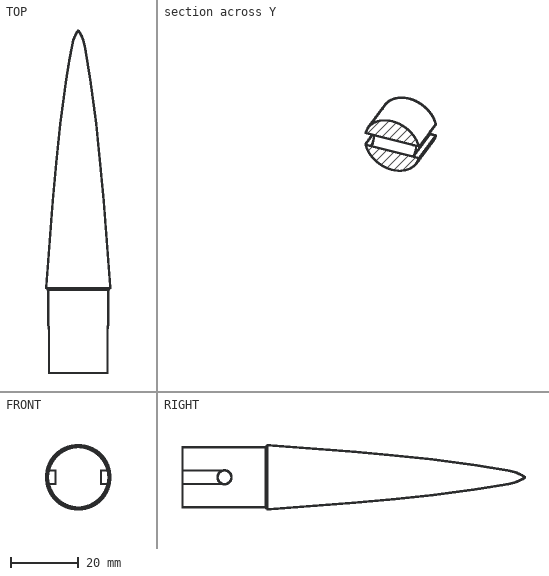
import cadquery as cq

length = 101.2
cone_diameter = 19.0

shank_diameter = 17.8
shank_length = 24.6
shoulder_length = 0.6

hole_diameter = 4.0
hole_from_end = 12.4
slot_floor_spacing = 13.6

cone_radius = cone_diameter / 2
shank_radius = shank_diameter / 2
shank_end = -length / 2
tip = length / 2
shank_top = shank_end + shank_length
cone_base = shank_top + shoulder_length
hole_y = shank_end + hole_from_end

nose_stations = [(1.8, 1.1), (6.7, 2.3), (18.9, 4.3), (38.5, 6.5), (57.9, 8.2)]


def revolved_body():
    """Cylindrical shank, tapered shoulder and convex pointed nose."""
    nose_curve = [(radius, tip - distance) for distance, radius in reversed(nose_stations)]
    profile = (
        cq.Workplane("XY")
        .moveTo(0, shank_end)
        .lineTo(shank_radius, shank_end)
        .lineTo(shank_radius, shank_top)
        .lineTo(cone_radius, cone_base)
        .spline(nose_curve + [(0, tip)], includeCurrent=True)
        .close()
    )
    return profile.revolve(360, (0, 0, 0), (0, 1, 0))


def cross_hole():
    """Round hole along X, right through the shank."""
    return (
        cq.Workplane("YZ")
        .center(hole_y, 0)
        .circle(hole_diameter / 2)
        .extrude(shank_radius, both=True)
    )


def side_slot(side):
    """Flat-floored slot from the shank end to the hole; side is +1 or -1 along X."""
    floor_x = slot_floor_spacing / 2
    slot_depth = shank_radius - floor_x
    return (
        cq.Workplane("XY")
        .box(slot_depth, hole_from_end, hole_diameter)
        .translate((side * (floor_x + slot_depth / 2), shank_end + hole_from_end / 2, 0))
    )


result = revolved_body().cut(cross_hole())
for side in (-1, 1):
    result = result.cut(side_slot(side))